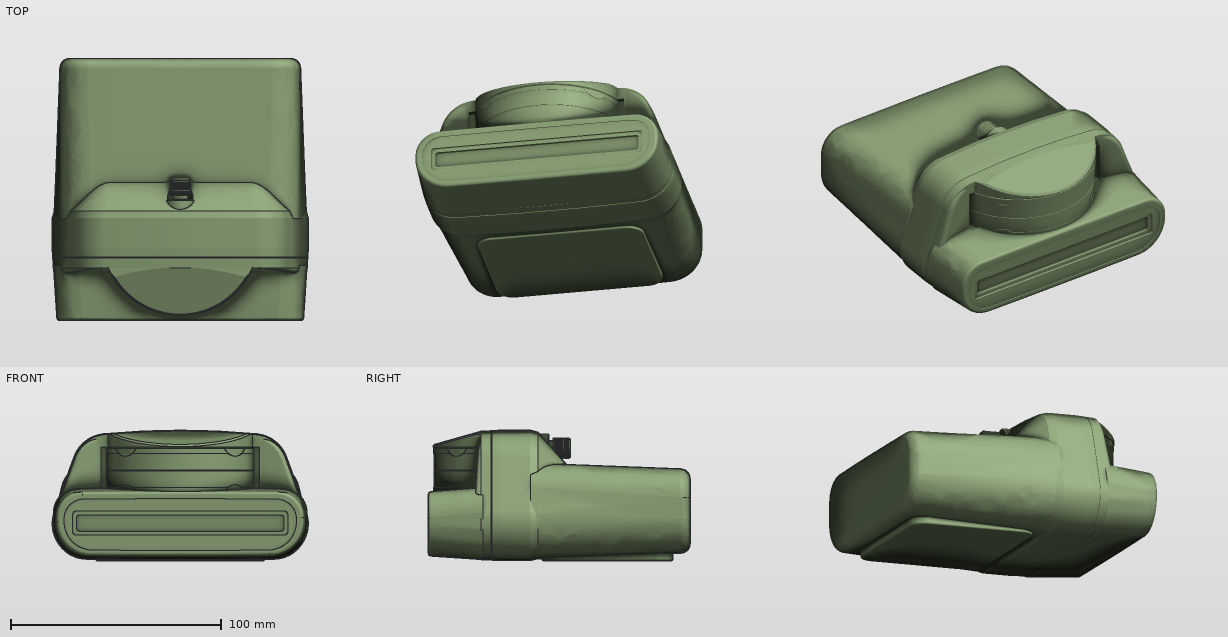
import cadquery as cq
import math

WIDTH = 121.58
LENGTH = 124.3
HEIGHT = 62.0

COLLAR_FRONT = 25.0
COLLAR_BAND_FRONT = 34.0
COLLAR_BAND_BACK = 48.4
COLLAR_BACK = 52.0
COLLAR_FRONT_INSET = 0.5
COLLAR_BACK_INSET = 1.0
LOWER_RADIUS = 17.0
UPPER_RADIUS = 17.0
UPPER_CENTRE_X = 34.5
BOTTOM_CROWN = 0.7
TOP_CROWN = 1.6
SEAM_Y = 29.7
SEAM_WIDTH = 0.5
SEAM_INSET = 0.65

HUMP_BACK = 66.0
HUMP_TOP = 45.0
HUMP_CORNER_X = 33.0
HUMP_CORNER_RADIUS = 8.0
HUMP_BOTTOM = 3.7

REAR_FRONT_LOWER_CENTRE = (43.0, 18.0)
REAR_FRONT_LOWER_RADIUS = 17.0
REAR_FRONT_UPPER_CENTRE = (42.3, 31.7)
REAR_FRONT_UPPER_RADIUS = 14.4
REAR_BACK_LOWER_CENTRE = (41.0, 20.0)
REAR_BACK_LOWER_RADIUS = 16.0
REAR_BACK_UPPER_CENTRE = (44.0, 30.0)
REAR_BACK_UPPER_RADIUS = 13.2
REAR_CROWN = 0.3
REAR_FILLET = 4.8

NOSE_HALF_WIDTH = 58.5
NOSE_BOTTOM = 2.5
NOSE_TOP = 32.5
NOSE_BACK = COLLAR_FRONT + 1
NOSE_BACK_HALF_WIDTH = 60.2
NOSE_BACK_TOP = 34.6
NOSE_LOWER_RADIUS = 16.0
NOSE_UPPER_RADIUS = 12.0
NOSE_CROWN = 0.2
NOSE_FILLET = 1.4
FACE_INSET = 2.6
FACE_SIDE_MARGIN = 0.8
FACE_TOP_MARGIN = 0.6
FACE_DEPTH = 0.5
SLOT_HALF_WIDTH = 51.0
SLOT_BOTTOM = 12.2
SLOT_TOP = 23.6
SLOT_LEDGE = 1.8
SLOT_STEP_DEPTH = 1.0
SLOT_DEPTH = 2.5
SLOT_CORNER = 1.5

WING_INNER_X = 36.0
WING_INNER_Y = 25.5
WING_OUTER_Y = 21.0
WING_BOTTOM = 21.0
WING_BACK = 28.7
WING_FRONT_INSET = 1.0
WING_FILLET = 2.0

NICHE_HALF_WIDTH = 37.6
NICHE_DEPTH = 2.5
NICHE_SINK = 0.6

KNOB_FRONT = 2.2
KNOB_RADIUS = 37.2
KNOB_CENTRE_Y = KNOB_FRONT + KNOB_RADIUS
KNOB_WALL_RADIUS = 36.7
KNOB_BOTTOM = 28.0
KNOB_FOOT = 32.5
CAP_UNDERSIDE = 53.2
CAP_FRONT_TOP = 55.0
CAP_BACK_TOP = 62.8
CAP_EDGE = 0.8
KNOB_SEAM_Z = 42.5
KNOB_SEAM_WIDTH = 0.5
KNOB_SEAM_DEPTH = 0.3
LUG_ANGLE = 45.0
LUG_RADIUS = 8.0
LUG_HEIGHT = 3.6
LUG_REACH = 0.4
FLARE_HEIGHT = 2.2
FLARE_REACH = 0.2

FOOT_HALF_WIDTH = 40.0
FOOT_FRONT = 54.0
FOOT_BACK = 116.0
FOOT_TOP = 8.0
FOOT_CORNER = 8.0
FOOT_EDGE = 0.8

CONNECTOR_Z = 53.4
BOSS_DIAMETER = 13.6
BOSS_BACK = 57.4
BOSS_EDGE = 0.5
NECK_DIAMETER = 7.31
TIP_DIAMETER = 8.6
THREAD_DIAMETER = 9.84
THREAD_FRONT = 59.3
THREAD_BACK = 66.7
TIP_BACK = 67.5
THREAD_PITCH = 1.0
THREAD_DEPTH = 0.4
SOCKET_DIAMETER = 12.0

PAST = 1.0


def plane_at(y):
    """Work plane across the part at depth y; local axes are X and Z."""
    return cq.Workplane("XZ", origin=(0, y, 0))


def outer_tangent(lower, lower_radius, upper, upper_radius):
    """Ends of the right-hand line that touches both corner circles."""
    dx = upper[0] - lower[0]
    dz = upper[1] - lower[1]
    turn = math.acos((lower_radius - upper_radius) / math.hypot(dx, dz))
    angle = math.atan2(dz, dx) - turn
    normal = (math.cos(angle), math.sin(angle))
    start = (lower[0] + lower_radius * normal[0], lower[1] + lower_radius * normal[1])
    end = (upper[0] + upper_radius * normal[0], upper[1] + upper_radius * normal[1])
    return start, end, angle


def on_circle(centre, radius, angle):
    return (centre[0] + radius * math.cos(angle), centre[1] + radius * math.sin(angle))


def mirrored(point):
    return (-point[0], point[1])


def shell_wire(y, lower, lower_radius, upper, upper_radius, bottom_crown, top_crown):
    """Closed outline with two lower and two upper corner arcs, crowned top and bottom."""
    start, end, angle = outer_tangent(lower, lower_radius, upper, upper_radius)
    bottom = (lower[0], lower[1] - lower_radius)
    top = (upper[0], upper[1] + upper_radius)
    lower_mid = on_circle(lower, lower_radius, (angle - math.pi / 2) / 2)
    upper_mid = on_circle(upper, upper_radius, (angle + math.pi / 2) / 2)
    return (
        plane_at(y)
        .moveTo(*mirrored(bottom))
        .threePointArc((0, bottom[1] - bottom_crown), bottom)
        .threePointArc(lower_mid, start)
        .lineTo(*end)
        .threePointArc(upper_mid, top)
        .threePointArc((0, top[1] + top_crown), mirrored(top))
        .threePointArc(mirrored(upper_mid), mirrored(end))
        .lineTo(*mirrored(start))
        .threePointArc(mirrored(lower_mid), mirrored(bottom))
        .close()
        .wire()
        .val()
    )


def collar_wire(y, inset=0.0):
    lower = (WIDTH / 2 - LOWER_RADIUS, BOTTOM_CROWN + LOWER_RADIUS)
    upper = (UPPER_CENTRE_X, HEIGHT - TOP_CROWN - UPPER_RADIUS)
    return shell_wire(
        y, lower, LOWER_RADIUS - inset, upper, UPPER_RADIUS - inset, BOTTOM_CROWN, TOP_CROWN
    )


def ruled_loft(*wires):
    return cq.Workplane(cq.Solid.makeLoft(list(wires), True))


def collar():
    band = ruled_loft(
        collar_wire(COLLAR_FRONT, COLLAR_FRONT_INSET),
        collar_wire(COLLAR_BAND_FRONT),
        collar_wire(COLLAR_BAND_BACK),
        collar_wire(COLLAR_BACK, COLLAR_BACK_INSET),
    )
    seam_end = SEAM_Y + SEAM_WIDTH
    outside = ruled_loft(collar_wire(SEAM_Y, -PAST), collar_wire(seam_end, -PAST))
    inside = ruled_loft(collar_wire(SEAM_Y, SEAM_INSET), collar_wire(seam_end, SEAM_INSET))
    return band.cut(outside.cut(inside))


def hump():
    lower = (HUMP_CORNER_X, HUMP_BOTTOM + LOWER_RADIUS)
    upper = (HUMP_CORNER_X, HUMP_TOP - HUMP_CORNER_RADIUS)
    back = shell_wire(
        HUMP_BACK, lower, LOWER_RADIUS, upper, HUMP_CORNER_RADIUS, REAR_CROWN, REAR_CROWN
    )
    return ruled_loft(collar_wire(COLLAR_BACK, COLLAR_BACK_INSET), back)


def rear_body():
    front = shell_wire(
        COLLAR_BAND_BACK,
        REAR_FRONT_LOWER_CENTRE,
        REAR_FRONT_LOWER_RADIUS,
        REAR_FRONT_UPPER_CENTRE,
        REAR_FRONT_UPPER_RADIUS,
        REAR_CROWN,
        REAR_CROWN,
    )
    back = shell_wire(
        LENGTH,
        REAR_BACK_LOWER_CENTRE,
        REAR_BACK_LOWER_RADIUS,
        REAR_BACK_UPPER_CENTRE,
        REAR_BACK_UPPER_RADIUS,
        REAR_CROWN,
        REAR_CROWN,
    )
    body = ruled_loft(front, back)
    return body.faces(">Y").edges().fillet(REAR_FILLET)


def foot():
    return (
        cq.Workplane("XY")
        .center(0, (FOOT_FRONT + FOOT_BACK) / 2)
        .rect(2 * FOOT_HALF_WIDTH, FOOT_BACK - FOOT_FRONT)
        .extrude(FOOT_TOP)
        .edges("|Z")
        .fillet(FOOT_CORNER)
        .faces("<Z")
        .edges()
        .fillet(FOOT_EDGE)
    )


def nose_wire(y, half_width, bottom, top, inset=0.0):
    lower = (half_width - NOSE_LOWER_RADIUS, bottom + NOSE_LOWER_RADIUS)
    upper = (half_width - NOSE_UPPER_RADIUS, top - NOSE_UPPER_RADIUS)
    return shell_wire(
        y, lower, NOSE_LOWER_RADIUS - inset, upper, NOSE_UPPER_RADIUS - inset, NOSE_CROWN, NOSE_CROWN
    )


def slot_cut(ledge, depth):
    width = 2 * (SLOT_HALF_WIDTH - ledge)
    height = SLOT_TOP - SLOT_BOTTOM - 2 * ledge
    return (
        plane_at(0)
        .center(0, (SLOT_BOTTOM + SLOT_TOP) / 2)
        .rect(width, height)
        .extrude(-depth)
        .edges("|Y")
        .fillet(SLOT_CORNER)
    )


def nose():
    body = ruled_loft(
        nose_wire(0, NOSE_HALF_WIDTH, NOSE_BOTTOM, NOSE_TOP),
        nose_wire(NOSE_BACK, NOSE_BACK_HALF_WIDTH, BOTTOM_CROWN, NOSE_BACK_TOP),
    )
    body = body.faces("<Y").edges().fillet(NOSE_FILLET)
    panel_half_width = NOSE_HALF_WIDTH - FACE_SIDE_MARGIN
    panel_top = NOSE_TOP - FACE_TOP_MARGIN
    panel = ruled_loft(
        nose_wire(-PAST, panel_half_width, NOSE_BOTTOM, panel_top, FACE_INSET),
        nose_wire(FACE_DEPTH, panel_half_width, NOSE_BOTTOM, panel_top, FACE_INSET),
    )
    body = body.cut(panel)
    body = body.cut(slot_cut(0, FACE_DEPTH + SLOT_STEP_DEPTH))
    return body.cut(slot_cut(SLOT_LEDGE, FACE_DEPTH + SLOT_DEPTH))


def wings():
    half = WIDTH / 2
    block = ruled_loft(collar_wire(WING_OUTER_Y, WING_FRONT_INSET), collar_wire(COLLAR_BAND_FRONT))
    plan = (
        cq.Workplane("XY", origin=(0, 0, WING_BOTTOM))
        .polyline(
            [
                (-half, WING_OUTER_Y),
                (-WING_INNER_X, WING_INNER_Y),
                (WING_INNER_X, WING_INNER_Y),
                (half, WING_OUTER_Y),
                (half, WING_BACK),
                (-half, WING_BACK),
            ]
        )
        .close()
        .extrude(HEIGHT)
    )
    body = block.intersect(plan)
    for side in (-1, 1):
        rim = cq.selectors.BoxSelector(
            (side * (WING_INNER_X + PAST / 2), WING_OUTER_Y - PAST, WING_BOTTOM + PAST),
            (side * (half + PAST), WING_INNER_Y + PAST, HEIGHT),
        )
        body = body.edges(rim).fillet(WING_FILLET)
    return body


def niche():
    """Shallow pocket behind the knob wall, below the cap."""
    floor = NOSE_BACK_TOP - NICHE_SINK
    return (
        cq.Workplane("XY", origin=(0, WING_INNER_Y, floor))
        .rect(2 * NICHE_HALF_WIDTH, 2 * NICHE_DEPTH)
        .extrude(CAP_UNDERSIDE + CAP_EDGE - floor)
    )


def knob_disc(radius, bottom, top):
    return (
        cq.Workplane("XY", origin=(0, KNOB_CENTRE_Y, bottom)).circle(radius).extrude(top - bottom)
    )


def lug(side, z):
    """Radial bar at height z whose end forms a round bump on the knob wall."""
    angle = math.radians(LUG_ANGLE)
    direction = cq.Vector(side * math.sin(angle), -math.cos(angle), 0)
    start = cq.Vector(0, KNOB_CENTRE_Y, z) + direction * (KNOB_WALL_RADIUS / 2)
    return cq.Workplane(cq.Solid.makeCylinder(LUG_RADIUS, KNOB_RADIUS, start, direction))


def knob():
    wall = knob_disc(KNOB_WALL_RADIUS, KNOB_BOTTOM, CAP_UNDERSIDE)
    seam_top = KNOB_SEAM_Z + KNOB_SEAM_WIDTH
    seam = knob_disc(KNOB_RADIUS, KNOB_SEAM_Z, seam_top)
    seam = seam.cut(knob_disc(KNOB_WALL_RADIUS - KNOB_SEAM_DEPTH, KNOB_SEAM_Z, seam_top))
    wall = wall.cut(seam)
    limit = knob_disc(KNOB_WALL_RADIUS + LUG_REACH, KNOB_BOTTOM, CAP_UNDERSIDE)
    drop = LUG_RADIUS - LUG_HEIGHT
    for side in (-1, 1):
        for z in (CAP_UNDERSIDE + drop, KNOB_FOOT - drop):
            wall = wall.union(lug(side, z).intersect(limit))
    for bottom in (KNOB_FOOT, CAP_UNDERSIDE - FLARE_HEIGHT):
        wall = wall.union(knob_disc(KNOB_WALL_RADIUS + FLARE_REACH, bottom, bottom + FLARE_HEIGHT))
    cap_profile = (
        cq.Workplane("YZ", origin=(-WIDTH / 2, 0, 0))
        .polyline(
            [
                (KNOB_FRONT, CAP_UNDERSIDE),
                (KNOB_FRONT, CAP_FRONT_TOP),
                (SEAM_Y, CAP_BACK_TOP),
                (SEAM_Y, CAP_UNDERSIDE),
            ]
        )
        .close()
        .extrude(WIDTH)
    )
    cap = knob_disc(KNOB_RADIUS, CAP_UNDERSIDE, HEIGHT + PAST).intersect(cap_profile)
    cap = cap.faces(">Z or <Z").edges().chamfer(CAP_EDGE)
    outline = ruled_loft(collar_wire(0, COLLAR_FRONT_INSET), collar_wire(SEAM_Y, COLLAR_FRONT_INSET))
    front_half = cq.Workplane("XY").box(WIDTH, SEAM_Y, HEIGHT, centered=(True, False, False))
    return wall.union(cap).intersect(front_half).intersect(outline)


def rod(diameter, start, end):
    return plane_at(start).center(0, CONNECTOR_Z).circle(diameter / 2).extrude(start - end)


def connector():
    boss = rod(BOSS_DIAMETER, COLLAR_BAND_BACK, BOSS_BACK).faces(">Y").edges().chamfer(BOSS_EDGE)
    body = boss.union(rod(NECK_DIAMETER, BOSS_BACK, THREAD_FRONT))
    body = body.union(rod(THREAD_DIAMETER, THREAD_FRONT, THREAD_BACK))
    body = body.union(rod(TIP_DIAMETER, THREAD_BACK, TIP_BACK))
    turns = int((THREAD_BACK - THREAD_FRONT) / THREAD_PITCH)
    for turn in range(turns):
        y = THREAD_FRONT + (turn + 0.5) * THREAD_PITCH
        ring = rod(THREAD_DIAMETER, y, y + THREAD_PITCH / 2)
        ring = ring.cut(rod(THREAD_DIAMETER - 2 * THREAD_DEPTH, y, y + THREAD_PITCH / 2))
        body = body.cut(ring)
    return body


shell = rear_body().union(hump()).union(collar()).union(foot())
shell = shell.union(nose()).union(wings()).cut(niche()).union(knob())
shell = shell.cut(rod(SOCKET_DIAMETER, BOSS_BACK, HUMP_BACK))
result = shell.union(connector())